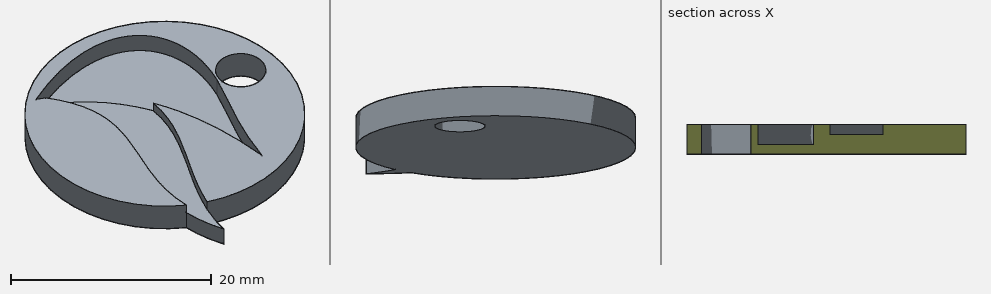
import cadquery as cq

overall_length = 29.75
disc_diameter = 27.9
disc_radius = disc_diameter / 2
thickness = 3.0

upper_leaf_floor = thickness / 3
lower_leaf_floor = thickness * 2 / 3

hole_diameter = 5.0
hole_center = (0.5, 10.0)

stem = (-10.45, -7.75)
upper_crest = (-0.15, 7.32)
upper_tip = (11.22, 2.62)
fork = (-1.9, 0.27)
lower_base = (-9.95, -6.9)
lower_tip = (overall_length - disc_radius, -7.02)

inside_upper_leaf = (-8.05, -1.2)

upper_back_controls = [(-15.48, 5.05), (-9.37, 10.85)]
upper_front_controls = [(3.27, 5.9), (5.9, 4.1)]
upper_underside_controls = [(2.05, 2.7), (-6.35, 0.25)]
lower_top_controls = [(4.43, -0.3), (8.9, -6.07)]
lower_underside_controls = [(4.55, -11.28), (-0.18, -0.2)]


def curved_edge(outline, controls, end):
    """Continue an open outline with one cubic Bezier edge."""
    return outline.bezier([*controls, end], includeCurrent=True)


def upper_leaf(floor, ceiling):
    """Solid leaf between two heights, bounded by three curved edges."""
    outline = cq.Workplane("XY").workplane(offset=floor).moveTo(*stem)
    outline = curved_edge(outline, upper_back_controls, upper_crest)
    outline = curved_edge(outline, upper_front_controls, upper_tip)
    outline = curved_edge(outline, upper_underside_controls, stem)
    return outline.close().extrude(ceiling - floor)


def lower_leaf(floor, ceiling):
    """Solid leaf between two heights, closed by an arc inside the upper leaf."""
    outline = cq.Workplane("XY").workplane(offset=floor).moveTo(*fork)
    outline = curved_edge(outline, lower_top_controls, lower_tip)
    outline = curved_edge(outline, lower_underside_controls, lower_base)
    outline = outline.lineTo(*stem).threePointArc(inside_upper_leaf, fork)
    return outline.close().extrude(ceiling - floor)


disc = cq.Workplane("XY").circle(disc_radius).extrude(thickness)

result = disc.union(lower_leaf(0, lower_leaf_floor))

result = result.cut(lower_leaf(lower_leaf_floor, thickness))
result = result.cut(upper_leaf(upper_leaf_floor, thickness))

hole = cq.Workplane("XY").center(*hole_center).circle(hole_diameter / 2).extrude(thickness)
result = result.cut(hole)